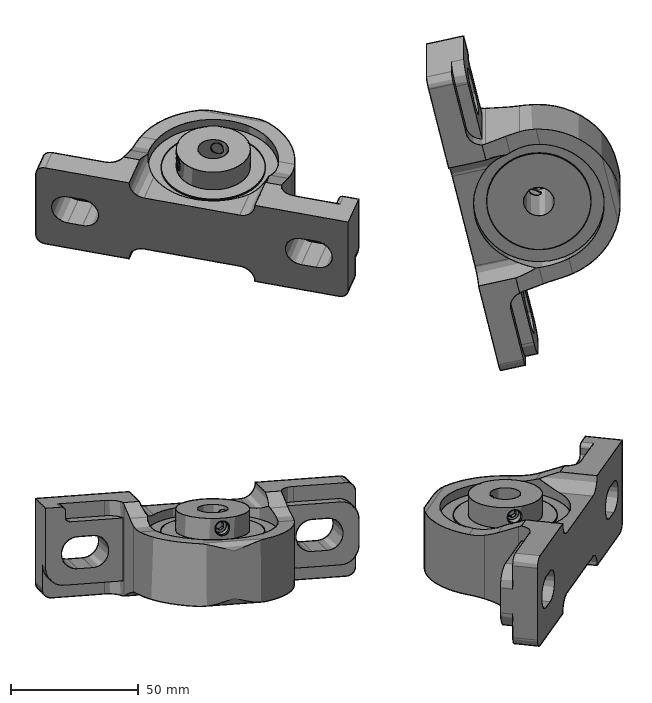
import cadquery as cq
import math

BASE_LENGTH = 127.0
BASE_WIDTH = 38.0
PLATE_HEIGHT = 10.0
BOSS_HEIGHT = 15.0
AXIS_HEIGHT = 30.2
HUB_HEIGHT = 30.0
HUB_RADIUS = 32.0
TOTAL_HEIGHT = HUB_HEIGHT + HUB_RADIUS

WAIST_WIDTH = 25.5
WAIST_FILLET = 6.1
PLATE_CORNER_RADIUS = 3.8
BOSS_CORNER_RADIUS = 7.5
TOWER_FILLET = 6.2
CROWN_FILLET = 3.2
FLARE_BLEND_RADIUS = 31.8
SLOT_LENGTH = 19.0
SLOT_WIDTH = 13.0
SLOT_SPACING = 95.0
END_BLOCK_LENGTH = 6.2
END_BLOCK_FILLET = 1.9

SEAT_DIAMETER = 51.0
RACE_BORE = 40.9
RIM_DIAMETER = 40.6
RACE_WIDTH = 18.0
RIM_WIDTH = 19.0
COLLAR_DIAMETER = 29.0
COLLAR_TOP = 18.3
SHAFT_BORE = 12.0

SCREW_DIAMETER = 5.2
SCREW_MOUTH_DIAMETER = 6.0
SCREW_HEIGHT = 14.1
SCREW_TIP_RADIUS = 6.1
SCREW_LENGTH = 4.5
SCREW_ANGLES = (90, 210)
SOCKET_WIDTH = 3.0
SOCKET_DEPTH = 2.0

HALF_LENGTH = BASE_LENGTH / 2
HALF_BASE = BASE_WIDTH / 2
HALF_WAIST = WAIST_WIDTH / 2
SEAT_RADIUS = SEAT_DIAMETER / 2
COLLAR_RADIUS = COLLAR_DIAMETER / 2


def xz_plane(height):
    """Workplane with X to the right and Z up whose extrusions run toward -Y, down from the height."""
    return cq.Workplane("XZ", origin=(0, height, 0))


def foot_plate():
    """Plate with three rounded corners; the corner at +X, +Z stays square."""
    plate = xz_plane(PLATE_HEIGHT).rect(BASE_LENGTH, BASE_WIDTH).extrude(PLATE_HEIGHT)
    return plate.edges("|Y").edges("<X or <Z").fillet(PLATE_CORNER_RADIUS)


def foot_boss():
    """Raised strip along the foot, as wide as the waist, with the same square corner as the plate."""
    boss = xz_plane(BOSS_HEIGHT).rect(BASE_LENGTH, WAIST_WIDTH).extrude(BOSS_HEIGHT)
    return boss.edges("|Y").edges("<X or <Z").fillet(BOSS_CORNER_RADIUS)


def end_block():
    """Block that widens the raised strip to the square corner through a rounded S-shaped step."""
    step_x = HALF_LENGTH - END_BLOCK_LENGTH
    r = END_BLOCK_FILLET
    return (
        xz_plane(BOSS_HEIGHT)
        .moveTo(HALF_LENGTH, HALF_BASE)
        .lineTo(step_x, HALF_BASE)
        .radiusArc((step_x - r, HALF_BASE - r), -r)
        .lineTo(step_x - r, HALF_WAIST + r)
        .radiusArc((step_x - 2 * r, HALF_WAIST), r)
        .lineTo(step_x - 2 * r, 0)
        .lineTo(HALF_LENGTH, 0)
        .close()
        .extrude(BOSS_HEIGHT)
    )


def tower():
    """Round-topped tower with filleted roots, running the full width of the foot."""
    root_x = HUB_RADIUS + TOWER_FILLET
    root_y = PLATE_HEIGHT + TOWER_FILLET
    return (
        cq.Workplane("XY", origin=(0, 0, -HALF_BASE))
        .moveTo(-root_x, 0)
        .lineTo(root_x, 0)
        .lineTo(root_x, PLATE_HEIGHT)
        .radiusArc((HUB_RADIUS, root_y), TOWER_FILLET)
        .lineTo(HUB_RADIUS, HUB_HEIGHT)
        .threePointArc((0, TOTAL_HEIGHT), (-HUB_RADIUS, HUB_HEIGHT))
        .lineTo(-HUB_RADIUS, root_y)
        .radiusArc((-root_x, PLATE_HEIGHT), TOWER_FILLET)
        .close()
        .extrude(BASE_WIDTH)
    )


def side_profile():
    """Envelope across the width: wide at the foot, sloping in to the waist, rounded at the crown."""
    profile = (
        cq.Workplane("YZ", origin=(-HALF_LENGTH, 0, 0))
        .polyline([
            (0, -HALF_BASE),
            (BOSS_HEIGHT, -HALF_BASE),
            (AXIS_HEIGHT, -HALF_WAIST),
            (TOTAL_HEIGHT, -HALF_WAIST),
            (TOTAL_HEIGHT, HALF_WAIST),
            (AXIS_HEIGHT, HALF_WAIST),
            (BOSS_HEIGHT, HALF_BASE),
            (0, HALF_BASE),
        ])
        .close()
        .extrude(BASE_LENGTH)
    )
    for side in (1, -1):
        blend_edge = cq.selectors.NearestToPointSelector((0, AXIS_HEIGHT, side * HALF_WAIST))
        profile = profile.edges("|X").edges(blend_edge).fillet(FLARE_BLEND_RADIUS)
    return profile.edges("|X and >Y").fillet(CROWN_FILLET)


def waist_cut(side):
    """Recess with rounded corners that narrows the middle of the foot on the +Z or -Z side."""
    start_x = SEAT_RADIUS
    floor_x = SEAT_RADIUS - WAIST_FILLET
    floor_z = side * HALF_WAIST
    arc_z = side * (HALF_WAIST + WAIST_FILLET)
    outer_z = side * BASE_WIDTH
    return (
        xz_plane(AXIS_HEIGHT)
        .moveTo(-start_x, outer_z)
        .lineTo(-start_x, arc_z)
        .radiusArc((-floor_x, floor_z), -side * WAIST_FILLET)
        .lineTo(floor_x, floor_z)
        .radiusArc((start_x, arc_z), -side * WAIST_FILLET)
        .lineTo(start_x, outer_z)
        .close()
        .extrude(AXIS_HEIGHT)
    )


def mounting_slots():
    """Two round-ended slots through the foot."""
    return (
        xz_plane(BOSS_HEIGHT)
        .pushPoints([(-SLOT_SPACING / 2, 0), (SLOT_SPACING / 2, 0)])
        .slot2D(SLOT_LENGTH, SLOT_WIDTH)
        .extrude(BOSS_HEIGHT)
    )


def axial_cylinder(diameter, bottom, top):
    """Cylinder on the bearing axis between two Z levels."""
    return cq.Workplane("XY", origin=(0, AXIS_HEIGHT, bottom)).circle(diameter / 2).extrude(top - bottom)


def make_housing():
    """Foot and tower in one piece, bored right through for the bearing."""
    housing = tower().intersect(side_profile())
    housing = housing.union(foot_plate()).union(foot_boss()).union(end_block())
    for side in (1, -1):
        housing = housing.cut(waist_cut(side))
    return housing.cut(mounting_slots()).cut(axial_cylinder(SEAT_DIAMETER, -BASE_WIDTH, BASE_WIDTH))


def make_outer_ring():
    """Plain ring seated in the housing bore."""
    half = RACE_WIDTH / 2
    return axial_cylinder(SEAT_DIAMETER, -half, half).cut(axial_cylinder(RACE_BORE, -half, half))


def screw_plane(angle, radius):
    """Workplane facing outward on a screw axis, at a radius from the bearing axis."""
    outward = (math.cos(math.radians(angle)), math.sin(math.radians(angle)), 0)
    origin = (radius * outward[0], AXIS_HEIGHT + radius * outward[1], SCREW_HEIGHT)
    return cq.Workplane(cq.Plane(origin=origin, xDir=(-outward[1], outward[0], 0), normal=outward))


def countersunk_mouth(angle):
    """Cone that widens the outer end of a screw hole, continued straight out past the collar."""
    depth = (SCREW_MOUTH_DIAMETER - SCREW_DIAMETER) / 2
    mouth_radius = COLLAR_RADIUS - depth
    cone = (
        screw_plane(angle, mouth_radius - depth)
        .circle(SCREW_DIAMETER / 2)
        .workplane(offset=depth)
        .circle(SCREW_MOUTH_DIAMETER / 2)
        .loft()
    )
    return cone.union(screw_plane(angle, mouth_radius).circle(SCREW_MOUTH_DIAMETER / 2).extrude(2 * depth))


def set_screw(angle):
    """Flat-tipped set screw with a hexagon socket in its outer end."""
    socket_floor = SCREW_TIP_RADIUS + SCREW_LENGTH - SOCKET_DEPTH
    screw = screw_plane(angle, SCREW_TIP_RADIUS).circle(SCREW_DIAMETER / 2).extrude(SCREW_LENGTH)
    socket = (
        screw_plane(angle, socket_floor)
        .polygon(6, SOCKET_WIDTH, circumscribed=True)
        .extrude(SOCKET_DEPTH)
    )
    return screw.cut(socket)


def add_set_screw(ring, angle):
    """Drill a countersunk screw hole through the collar wall and close its inner end with a set screw."""
    hole = screw_plane(angle, 0).circle(SCREW_DIAMETER / 2).extrude(COLLAR_RADIUS)
    return ring.cut(hole).cut(countersunk_mouth(angle)).union(set_screw(angle))


def make_inner_ring():
    """Inner ring with its collar; it fills the outer ring and carries both set screws."""
    half_race = RACE_WIDTH / 2
    half_rim = RIM_WIDTH / 2
    ring = axial_cylinder(RACE_BORE, -half_race, half_race)
    ring = ring.union(axial_cylinder(RIM_DIAMETER, -half_rim, half_rim))
    ring = ring.union(axial_cylinder(COLLAR_DIAMETER, -half_rim, COLLAR_TOP))
    ring = ring.cut(axial_cylinder(SHAFT_BORE, -half_rim, COLLAR_TOP))
    for angle in SCREW_ANGLES:
        ring = add_set_screw(ring, angle)
    return ring


housing = make_housing()
outer_ring = make_outer_ring()
inner_ring = make_inner_ring()

result = cq.Compound.makeCompound([housing.val(), outer_ring.val(), inner_ring.val()])